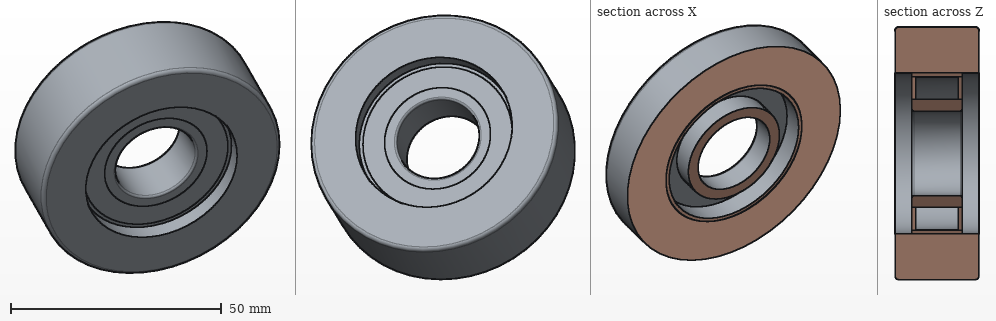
import cadquery as cq

wheel_diameter = 60.0
wheel_width = wheel_diameter / 3
wheel_edge_radius = 0.95

bearing_width = 12.0
bearing_diameter = 38.05
bore_diameter = wheel_diameter / 3
bore_edge_radius = 0.55
outer_ring_thickness = 0.9
inner_ring_diameter = 25.75
shield_thickness = 1.0

shield_outer_diameter = bearing_diameter - 2 * outer_ring_thickness


def ring(outer_diameter, inner_diameter, width, center_x=0):
    """Flat ring about the X axis, centred on center_x."""
    return (
        cq.Workplane("YZ", origin=(center_x - width / 2, 0, 0))
        .circle(outer_diameter / 2)
        .circle(inner_diameter / 2)
        .extrude(width)
    )


def make_wheel():
    """Wheel with a plain through bore and rounded outer rims."""
    blank = ring(wheel_diameter, bearing_diameter, wheel_width)
    outer_rims = blank.edges(cq.selectors.RadiusNthSelector(-1))
    return outer_rims.fillet(wheel_edge_radius)


def make_outer_ring():
    """Bearing ring seated in the bore of the wheel."""
    return ring(bearing_diameter, shield_outer_diameter, bearing_width)


def make_inner_ring():
    """Bearing ring with rounded edges at both ends of its bore."""
    blank = ring(inner_ring_diameter, bore_diameter, bearing_width)
    bore_rims = blank.edges(cq.selectors.RadiusNthSelector(0))
    return bore_rims.fillet(bore_edge_radius)


def make_shield(side):
    """Shield between the rings, flush with the bearing face on one side (-1 or 1)."""
    center_x = side * (bearing_width - shield_thickness) / 2
    return ring(shield_outer_diameter, inner_ring_diameter, shield_thickness, center_x)


wheel = make_wheel()
outer_ring = make_outer_ring()
inner_ring = make_inner_ring()
shields = [make_shield(side) for side in (-1, 1)]

result = cq.Compound.makeCompound(
    [
        wheel.val(),
        outer_ring.val(),
        inner_ring.val(),
        *[shield.val() for shield in shields],
    ]
)